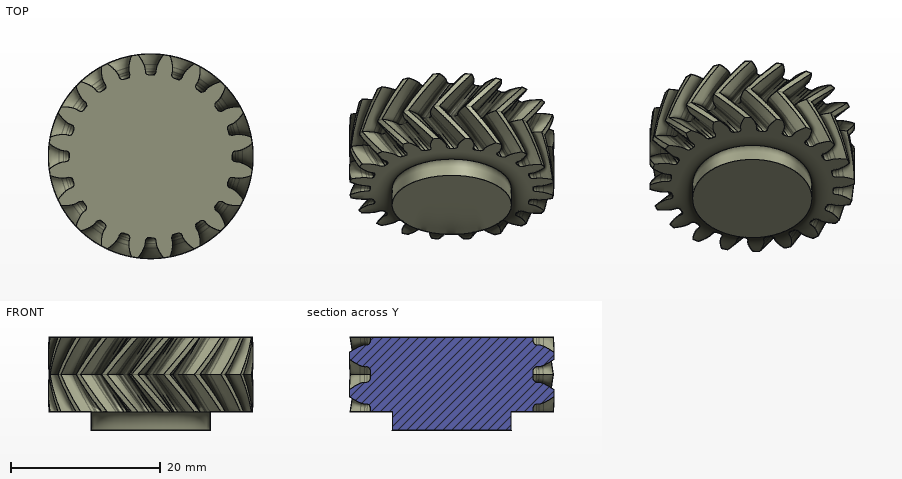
import cadquery as cq
import math

TOOTH_COUNT = 20
TIP_RADIUS = 13.75
PRESSURE_ANGLE = math.radians(20)
DEDENDUM_FACTOR = 1.25
ROOT_FILLET_FACTOR = 0.38
FLANK_SPLIT_RADIUS = 12.32
FACE_WIDTH = 10.0
HUB_DIAMETER = 16.0
HUB_HEIGHT = 2.5

MODULE = 2 * TIP_RADIUS / (TOOTH_COUNT + 2)
PITCH_RADIUS = MODULE * TOOTH_COUNT / 2
BASE_RADIUS = PITCH_RADIUS * math.cos(PRESSURE_ANGLE)
ROOT_RADIUS = PITCH_RADIUS - DEDENDUM_FACTOR * MODULE
ROOT_FILLET = ROOT_FILLET_FACTOR * MODULE
TOOTH_PITCH = 2 * math.pi / TOOTH_COUNT
HALF_WIDTH = FACE_WIDTH / 2
TWIST = math.degrees(TOOTH_PITCH)


def polar(radius, angle):
    return (radius * math.cos(angle), radius * math.sin(angle))


def involute(pressure_angle):
    return math.tan(pressure_angle) - pressure_angle


def flank_half_angle(radius):
    """Half the angle that a tooth spans at a radius on its involute flank."""
    local_pressure_angle = math.acos(min(1.0, BASE_RADIUS / radius))
    return TOOTH_PITCH / 4 + involute(PRESSURE_ANGLE) - involute(local_pressure_angle)


FOOT_ANGLE = flank_half_angle(BASE_RADIUS)
FILLET_CENTRE_RADIUS = ROOT_RADIUS + ROOT_FILLET
FILLET_SPAN = math.asin(ROOT_FILLET / FILLET_CENTRE_RADIUS)
FILLET_TOP_RADIUS = FILLET_CENTRE_RADIUS * math.cos(FILLET_SPAN)


def fillet_middle(tooth_angle, side):
    """Point halfway along the root fillet on one side (-1 or 1) of a tooth."""
    centre_x, centre_y = polar(FILLET_CENTRE_RADIUS, tooth_angle + side * (FOOT_ANGLE + FILLET_SPAN))
    toward_tooth = tooth_angle + side * (FOOT_ANGLE - math.pi / 2)
    toward_axis = tooth_angle + side * (FOOT_ANGLE + FILLET_SPAN) + math.pi
    direction_x = math.cos(toward_tooth) + math.cos(toward_axis)
    direction_y = math.sin(toward_tooth) + math.sin(toward_axis)
    reach = ROOT_FILLET / math.hypot(direction_x, direction_y)
    return (centre_x + reach * direction_x, centre_y + reach * direction_y)


def gear_outline():
    """Closed tooth outline, with a tooth gap centred on the X axis."""
    flank_radii = [
        BASE_RADIUS,
        (BASE_RADIUS + FLANK_SPLIT_RADIUS) / 2,
        FLANK_SPLIT_RADIUS,
        (FLANK_SPLIT_RADIUS + TIP_RADIUS) / 2,
        TIP_RADIUS,
    ]
    root_edge_angle = FOOT_ANGLE + FILLET_SPAN

    outline = cq.Workplane("XY").moveTo(*polar(ROOT_RADIUS, TOOTH_PITCH / 2 - root_edge_angle))
    for tooth in range(TOOTH_COUNT):
        middle = (tooth + 0.5) * TOOTH_PITCH
        rising = [polar(r, middle - flank_half_angle(r)) for r in flank_radii]
        falling = [polar(r, middle + flank_half_angle(r)) for r in reversed(flank_radii)]
        outline = (
            outline
            .threePointArc(fillet_middle(middle, -1), polar(FILLET_TOP_RADIUS, middle - FOOT_ANGLE))
            .lineTo(*rising[0])
            .threePointArc(rising[1], rising[2])
            .threePointArc(rising[3], rising[4])
            .threePointArc(polar(TIP_RADIUS, middle), falling[0])
            .threePointArc(falling[1], falling[2])
            .threePointArc(falling[3], falling[4])
            .lineTo(*polar(FILLET_TOP_RADIUS, middle + FOOT_ANGLE))
            .threePointArc(fillet_middle(middle, 1), polar(ROOT_RADIUS, middle + root_edge_angle))
            .threePointArc(
                polar(ROOT_RADIUS, middle + TOOTH_PITCH / 2),
                polar(ROOT_RADIUS, middle + TOOTH_PITCH - root_edge_angle),
            )
        )
    return outline.close()


lower_half = gear_outline().twistExtrude(HALF_WIDTH, -TWIST)
upper_half = lower_half.mirror("XY", (0, 0, HALF_WIDTH))
hub = cq.Workplane("XY").circle(HUB_DIAMETER / 2).extrude(-HUB_HEIGHT)

result = lower_half.union(upper_half).union(hub)